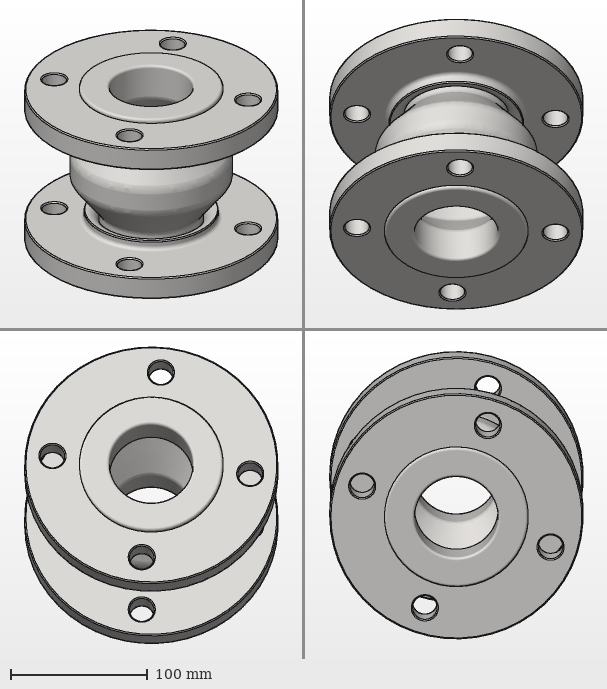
import cadquery as cq
import math

TOTAL_HEIGHT = 130.0
HALF_HEIGHT = TOTAL_HEIGHT / 2

SEAL_RADIUS = 105.0 / 2
SEAL_THICKNESS = 3.0
SEAL_ROUNDING = 2.0
NECK_RADIUS = 76.0 / 2
NECK_BORE_RADIUS = 61 / 2
BULGE_RADIUS = 119.0 / 2
BULGE_INNER_RADIUS = 103.0 / 2
BULGE_CONE_ANGLE = 38.2
NECK_END = 37.4
BORE_END = 38.0
NECK_BLEND = 5.0
BULGE_BLEND = 10.0
BULGE_INNER_BLEND = 5.0

FLANGE_RADIUS = 185 / 2
FLANGE_THICKNESS = 17.4
FLANGE_TOP = HALF_HEIGHT - SEAL_THICKNESS
FLANGE_BOTTOM = FLANGE_TOP - FLANGE_THICKNESS
EDGE_CHAMFER = 1.0
COLLAR_RADIUS = 98 / 2
COLLAR_TIP = 37.2
COLLAR_BLEND = 3.1
TIP_CHAMFER_WIDTH = 0.5
TIP_CHAMFER_HEIGHT = 1.1

BOLT_COUNT = 4
BOLT_HOLE_DIAMETER = 18.0
BOLT_CIRCLE_DIAMETER = 145.0
FIRST_BOLT_ANGLE = 45


def revolve_about_z(profile):
    """Revolve a radius-height profile a full turn about the Z axis."""
    return profile.close().revolve(360, (0, 0, 0), (0, 1, 0))


def spool(neck_radius, bulge_radius, neck_end, neck_blend, bulge_blend):
    """Solid of two necks joined by a double-cone bulge with blended corners."""
    cone_height = (bulge_radius - neck_radius) / math.tan(math.radians(BULGE_CONE_ANGLE))
    bulge_end = neck_end - cone_height
    body = revolve_about_z(
        cq.Workplane("XZ")
        .moveTo(0, -HALF_HEIGHT)
        .lineTo(neck_radius, -HALF_HEIGHT)
        .lineTo(neck_radius, -neck_end)
        .lineTo(bulge_radius, -bulge_end)
        .lineTo(bulge_radius, bulge_end)
        .lineTo(neck_radius, neck_end)
        .lineTo(neck_radius, HALF_HEIGHT)
        .lineTo(0, HALF_HEIGHT)
    )

    def circles_at(height):
        corner = cq.selectors.BoxSelector(
            (-bulge_radius, -bulge_radius, height - EDGE_CHAMFER),
            (bulge_radius, bulge_radius, height + EDGE_CHAMFER),
        )
        return body.edges("%CIRCLE").edges(corner)

    for side in (-1, 1):
        body = circles_at(side * neck_end).fillet(neck_blend)
        body = circles_at(side * bulge_end).fillet(bulge_blend)
    return body


def seal_face():
    """Raised sealing disc at the upper end, rounded at its outer rim."""
    return (
        cq.Workplane("XY", origin=(0, 0, FLANGE_TOP))
        .circle(SEAL_RADIUS)
        .extrude(SEAL_THICKNESS)
        .faces(">Z").edges().fillet(SEAL_ROUNDING)
    )


def make_bellows():
    """Rubber body: bulged tube with a sealing face at each end."""
    outside = spool(NECK_RADIUS, BULGE_RADIUS, NECK_END, NECK_BLEND, BULGE_BLEND)
    inside = spool(NECK_BORE_RADIUS, BULGE_INNER_RADIUS, BORE_END, NECK_BLEND, BULGE_INNER_BLEND)
    upper_face = seal_face()
    lower_face = upper_face.mirror("XY")
    tube = outside.union(upper_face).union(lower_face).cut(inside)
    bore_mouths = tube.faces("<Z or >Z").edges(cq.selectors.RadiusNthSelector(0))
    return bore_mouths.fillet(SEAL_ROUNDING)


def flange_blank():
    """Upper flange with its collar; the collar mouth flares in a quarter round."""
    tip_radius = COLLAR_RADIUS - TIP_CHAMFER_WIDTH
    flare = tip_radius - NECK_RADIUS
    flare_end = COLLAR_TIP + flare
    flare_middle = (
        tip_radius - flare * math.cos(math.radians(45)),
        flare_end - flare * math.sin(math.radians(45)),
    )
    blend_middle = (
        COLLAR_RADIUS + COLLAR_BLEND * (1 - math.cos(math.radians(45))),
        FLANGE_BOTTOM - COLLAR_BLEND * (1 - math.sin(math.radians(45))),
    )
    return revolve_about_z(
        cq.Workplane("XZ")
        .moveTo(NECK_RADIUS, FLANGE_TOP)
        .lineTo(NECK_RADIUS, flare_end)
        .threePointArc(flare_middle, (tip_radius, COLLAR_TIP))
        .lineTo(COLLAR_RADIUS, COLLAR_TIP + TIP_CHAMFER_HEIGHT)
        .lineTo(COLLAR_RADIUS, FLANGE_BOTTOM - COLLAR_BLEND)
        .threePointArc(blend_middle, (COLLAR_RADIUS + COLLAR_BLEND, FLANGE_BOTTOM))
        .lineTo(FLANGE_RADIUS - EDGE_CHAMFER, FLANGE_BOTTOM)
        .lineTo(FLANGE_RADIUS, FLANGE_BOTTOM + EDGE_CHAMFER)
        .lineTo(FLANGE_RADIUS, FLANGE_TOP - EDGE_CHAMFER)
        .lineTo(FLANGE_RADIUS - EDGE_CHAMFER, FLANGE_TOP)
    )


def bolt_hole_cutter():
    """Through bolt hole, chamfered at both flange faces."""
    hole_radius = BOLT_HOLE_DIAMETER / 2
    mouth_radius = hole_radius + EDGE_CHAMFER
    return revolve_about_z(
        cq.Workplane("XZ")
        .moveTo(0, FLANGE_BOTTOM)
        .lineTo(mouth_radius, FLANGE_BOTTOM)
        .lineTo(hole_radius, FLANGE_BOTTOM + EDGE_CHAMFER)
        .lineTo(hole_radius, FLANGE_TOP - EDGE_CHAMFER)
        .lineTo(mouth_radius, FLANGE_TOP)
        .lineTo(0, FLANGE_TOP)
    )


def make_flange(side):
    """Steel flange at the upper (side = 1) or lower (side = -1) end."""
    flange = flange_blank()
    cutter = bolt_hole_cutter().translate((BOLT_CIRCLE_DIAMETER / 2, 0, 0))
    for index in range(BOLT_COUNT):
        angle = FIRST_BOLT_ANGLE + index * 360 / BOLT_COUNT
        flange = flange.cut(cutter.rotate((0, 0, 0), (0, 0, 1), angle))
    if side < 0:
        flange = flange.mirror("XY")
    return flange


bellows = make_bellows()
flanges = [make_flange(side) for side in (1, -1)]

result = cq.Compound.makeCompound([bellows.val(), *[flange.val() for flange in flanges]])